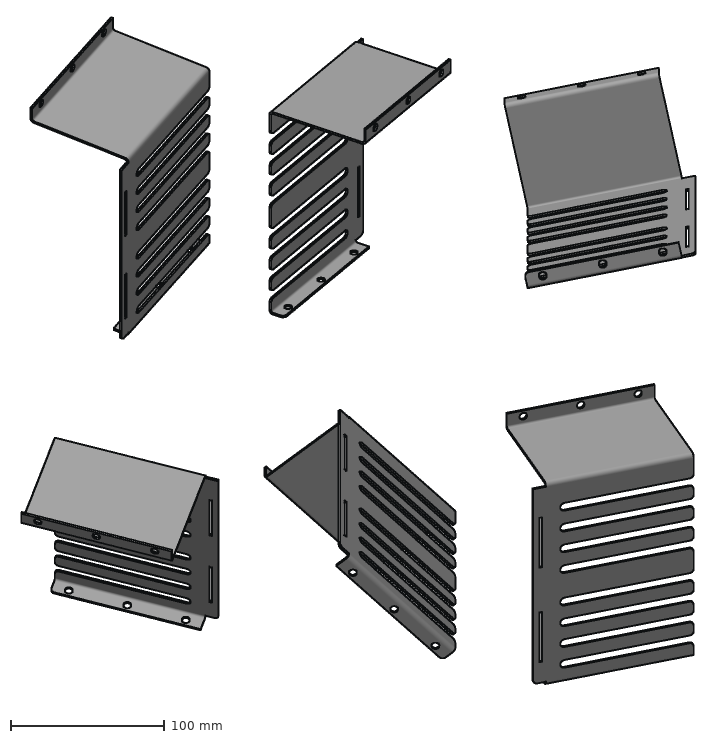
import cadquery as cq

depth = 74.9
width = 111.9
height = 166.0

sheet = 1.5
bend_outer = 3.0
bend_inner = bend_outer - sheet

bent_width = 103.0
shelf_top = 155.5
shelf_bottom = shelf_top - sheet
foot_length = 11.6
foot_start = depth - foot_length
wall_inside = depth - sheet
tab_width = width - bent_width
corner_radius = 3.0

hole_diameter = 5.1
hole_pitch = 40.0
hole_edge_distance = 4.3
hole_centers_y = [tab_width + bent_width / 2 + i * hole_pitch for i in (-1, 0, 1)]

slot_width = 6.0
slot_length = 93.0
slot_pitch = 16.0
slots_per_group = 4
slot_group_starts = (14.0, 86.7)
slot_mouth_radius = 3.0

slit_width = 1.8
slit_length = 38.2
slit_center_y = 5.3
slit_centers_z = (38.0, 110.5)


def box(x_range, y_range, z_range):
    """Axis-aligned block between the given limits."""
    size = [high - low for low, high in (x_range, y_range, z_range)]
    corner = (x_range[0], y_range[0], z_range[0])
    return cq.Workplane("XY").box(*size, centered=False).translate(corner)


def bent_sheet():
    """Lip, shelf, wall and foot as one bent strip."""
    profile = (
        cq.Workplane("XZ")
        .moveTo(0, height)
        .lineTo(0, shelf_bottom + bend_outer)
        .radiusArc((bend_outer, shelf_bottom), -bend_outer)
        .lineTo(wall_inside - bend_inner, shelf_bottom)
        .radiusArc((wall_inside, shelf_bottom - bend_inner), bend_inner)
        .lineTo(wall_inside, bend_outer)
        .radiusArc((wall_inside - bend_inner, sheet), bend_inner)
        .lineTo(foot_start, sheet)
        .lineTo(foot_start, 0)
        .lineTo(depth - bend_outer, 0)
        .radiusArc((depth, bend_outer), -bend_outer)
        .lineTo(depth, shelf_top - bend_outer)
        .radiusArc((depth - bend_outer, shelf_top), -bend_outer)
        .lineTo(bend_outer, shelf_top)
        .radiusArc((sheet, shelf_top + bend_inner), bend_inner)
        .lineTo(sheet, height)
        .close()
    )
    strip = profile.extrude(-bent_width).translate((0, tab_width, 0))
    far_corner = cq.selectors.NearestToPointSelector((foot_start, width, sheet / 2))
    return strip.edges("|Z").edges(far_corner).fillet(corner_radius)


def wall_tab():
    """Flat strip that widens the wall past the bends, rounded at its low corner."""
    tab = box((wall_inside, depth), (0, tab_width), (bend_outer, shelf_top - bend_outer))
    return tab.edges("|X and <Y and <Z").fillet(corner_radius)


def open_slot(center_z):
    """Slot with a round end, open at the +Y edge through a flared mouth."""
    half = slot_width / 2
    round_center_y = width - slot_length + half
    mouth_y = width - slot_mouth_radius
    mouth_half = half + slot_mouth_radius
    return (
        cq.Workplane("YZ", origin=(wall_inside, 0, center_z))
        .moveTo(width, -mouth_half)
        .radiusArc((mouth_y, -half), -slot_mouth_radius)
        .lineTo(round_center_y, -half)
        .threePointArc((round_center_y - half, 0), (round_center_y, half))
        .lineTo(mouth_y, half)
        .radiusArc((width, mouth_half), -slot_mouth_radius)
        .close()
        .extrude(sheet)
    )


def slit(center_z):
    """Narrow rectangular opening through the wall."""
    return (
        cq.Workplane("YZ", origin=(wall_inside, slit_center_y, center_z))
        .rect(slit_width, slit_length)
        .extrude(sheet)
    )


def lip_hole(center_y):
    """Round hole through the upright lip."""
    origin = (0, center_y, height - hole_edge_distance)
    return cq.Workplane("YZ", origin=origin).circle(hole_diameter / 2).extrude(sheet)


def foot_hole(center_y):
    """Round hole through the foot."""
    origin = (foot_start + hole_edge_distance, center_y, 0)
    return cq.Workplane("XY", origin=origin).circle(hole_diameter / 2).extrude(sheet)


result = bent_sheet().union(wall_tab())

for group_start in slot_group_starts:
    for index in range(slots_per_group):
        result = result.cut(open_slot(group_start + index * slot_pitch))

for slit_z in slit_centers_z:
    result = result.cut(slit(slit_z))

for hole_y in hole_centers_y:
    result = result.cut(lip_hole(hole_y)).cut(foot_hole(hole_y))